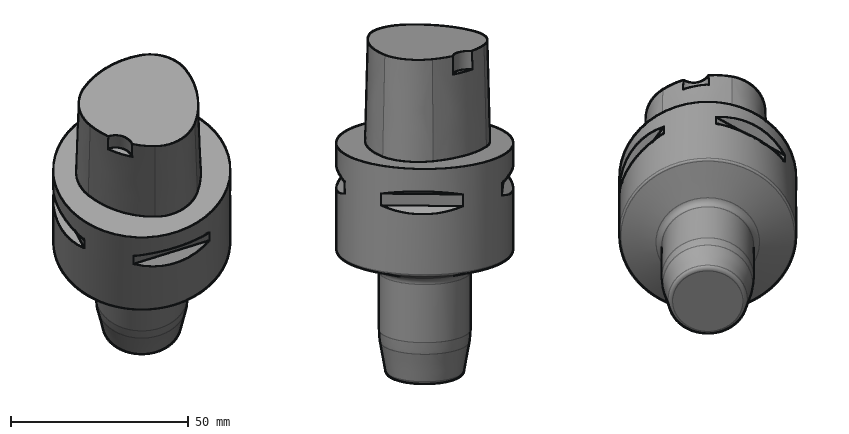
import cadquery as cq
import math


shank_height = 29.9
shank_taper = math.degrees(math.atan(1 / 40))
lobe_radius = 11.8
lobe_offset = 6.1
flank_radius = 25.0
lobe_count = 3

notch_depth = 5.4
notch_radius = 4.9
notch_bottom_y = -14.0

flange_radius = 50 / 2
flange_height = 31.8
flange_edge_fillet = 0.8
edge_search_margin = 1.0
cone_angle = math.radians(20)

nose_radius = 26.0 / 2
nose_fillet = 2.45
nose_cylinder_end = -55.0
nose_bend_end = -58.5
nose_bottom = shank_height - 98
nose_taper = math.radians(10)
nose_tip_fillet = 1.3

groove_count = 4
groove_z = -10.0
groove_floor_radius = 22.1
groove_floor_width = 3.4
groove_mouth_width = 6.8
groove_cutter_overrun = 1.0


def polar(radius, angle, centre=(0, 0)):
    """Point at a radius and an angle in degrees from a centre."""
    turn = math.radians(angle)
    return centre[0] + radius * math.cos(turn), centre[1] + radius * math.sin(turn)


def make_shank():
    """Three lobe arcs joined tangentially by three flatter flank arcs."""
    half_pitch = 180 / lobe_count
    half_angle = math.radians(half_pitch)
    across = lobe_offset * math.sin(half_angle)
    along = math.sqrt((flank_radius - lobe_radius) ** 2 - across ** 2)
    flank_offset = along - lobe_offset * math.cos(half_angle)
    flank_middle = flank_radius - flank_offset
    flank_half_sweep = math.degrees(math.atan2(across, along))
    lobe_half_sweep = half_pitch - flank_half_sweep

    growth = shank_height * math.tan(math.radians(shank_taper))
    base_lobe_radius = lobe_radius + growth
    lobe_angles = [90 + i * 2 * half_pitch for i in range(lobe_count)]
    first_centre = polar(lobe_offset, lobe_angles[0])
    outline = cq.Workplane("XY").moveTo(
        *polar(base_lobe_radius, lobe_angles[0] - lobe_half_sweep, first_centre)
    )
    for angle in lobe_angles:
        next_angle = angle + 2 * half_pitch
        centre = polar(lobe_offset, angle)
        next_centre = polar(lobe_offset, next_angle)
        outline = outline.threePointArc(
            polar(base_lobe_radius, angle, centre),
            polar(base_lobe_radius, angle + lobe_half_sweep, centre),
        ).threePointArc(
            polar(flank_middle + growth, angle + half_pitch),
            polar(base_lobe_radius, next_angle - lobe_half_sweep, next_centre),
        )
    return outline.close().extrude(shank_height, taper=shank_taper)


def make_notch():
    """Upright round cutter that opens through the top and the -Y flank."""
    return (
        cq.Workplane("XY", origin=(0, 0, shank_height - notch_depth))
        .center(0, notch_bottom_y - notch_radius)
        .circle(notch_radius)
        .extrude(notch_depth)
    )


def make_flange():
    """Cylinder with a conical underside running down to the axis."""
    cone_tip = -flange_height - flange_radius * math.tan(cone_angle)
    return (
        cq.Workplane("XZ")
        .polyline([(0, 0), (flange_radius, 0), (flange_radius, -flange_height), (0, cone_tip)])
        .close()
        .revolve(360, (0, 0), (0, 1))
        .edges(cq.selectors.BoxSelector(
            (-flange_radius, -flange_radius, -flange_height - edge_search_margin),
            (flange_radius, flange_radius, -flange_height + edge_search_margin)))
        .edges("%CIRCLE")
        .fillet(flange_edge_fillet)
    )


def make_nose():
    """Cylinder bending through a tangent arc into a tapered, rounded tip."""
    bend_radius = (nose_cylinder_end - nose_bend_end) / math.sin(nose_taper)
    bend_centre_x = nose_radius - bend_radius
    bend_middle = (
        bend_centre_x + bend_radius * math.cos(nose_taper / 2),
        nose_cylinder_end - bend_radius * math.sin(nose_taper / 2),
    )
    bend_end_x = bend_centre_x + bend_radius * math.cos(nose_taper)
    tip_x = bend_end_x - (nose_bend_end - nose_bottom) * math.tan(nose_taper)
    return (
        cq.Workplane("XZ")
        .moveTo(0, -flange_height)
        .lineTo(nose_radius, -flange_height)
        .lineTo(nose_radius, nose_cylinder_end)
        .threePointArc(bend_middle, (bend_end_x, nose_bend_end))
        .lineTo(tip_x, nose_bottom)
        .lineTo(0, nose_bottom)
        .close()
        .revolve(360, (0, 0), (0, 1))
        .faces("<Z")
        .edges()
        .fillet(nose_tip_fillet)
    )


def make_root_fillet():
    """Ring that rounds the corner between the cone and the nose."""
    corner_z = -flange_height - (flange_radius - nose_radius) * math.tan(cone_angle)
    centre_x = nose_radius + nose_fillet
    centre_z = corner_z + nose_fillet * math.tan(cone_angle) - nose_fillet / math.cos(cone_angle)
    cone_contact = polar(nose_fillet, 90 + math.degrees(cone_angle), (centre_x, centre_z))
    arc_middle = polar(nose_fillet, 135 + math.degrees(cone_angle) / 2, (centre_x, centre_z))
    return (
        cq.Workplane("XZ")
        .moveTo(0, centre_z)
        .lineTo(nose_radius, centre_z)
        .threePointArc(arc_middle, cone_contact)
        .lineTo(nose_radius, corner_z)
        .lineTo(0, corner_z)
        .close()
        .revolve(360, (0, 0), (0, 1))
    )


def make_groove():
    """Straight groove with a flat floor and flared walls, on the +X side."""
    slope = (groove_mouth_width - groove_floor_width) / 2 / (flange_radius - groove_floor_radius)
    outer_x = flange_radius + groove_cutter_overrun
    floor_half = groove_floor_width / 2
    outer_half = floor_half + slope * (outer_x - groove_floor_radius)
    return (
        cq.Workplane("XZ")
        .polyline([
            (groove_floor_radius, groove_z - floor_half),
            (outer_x, groove_z - outer_half),
            (outer_x, groove_z + outer_half),
            (groove_floor_radius, groove_z + floor_half),
        ])
        .close()
        .extrude(flange_radius, both=True)
    )


result = make_flange().union(make_nose()).union(make_root_fillet())
result = result.union(make_shank()).cut(make_notch())
for i in range(groove_count):
    groove_angle = 360 / groove_count * (i + 0.5)
    result = result.cut(make_groove().rotate((0, 0, 0), (0, 0, 1), groove_angle))